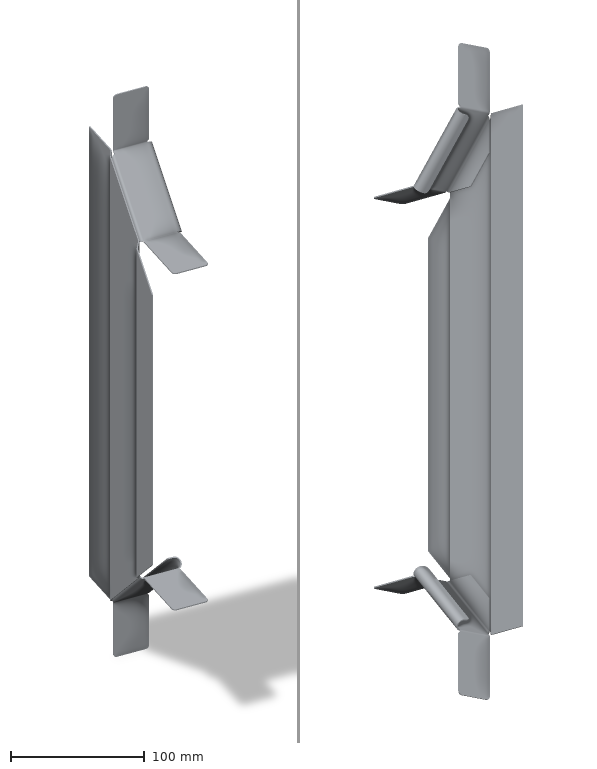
import cadquery as cq
import math

half_length = 251.0
overall_width = 140.0
overall_depth = 40.0
sheet = 1.0
root2 = math.sqrt(2)

left_x = -overall_width / 2
tab_tip_x = overall_width / 2
front_y = -overall_depth / 2
back_y = overall_depth / 2

panel_half_height = 201.0
first_step_depth = 2.5
second_step_depth = 3.25
step_run = 4.0
first_step_x = -33.5
second_step_x = 17.5
right_x = 47.5
panel_sum = 168.5

middle_back_y = front_y + second_step_depth + sheet
wide_back_y = middle_back_y + first_step_depth

bend_radius = 2.0
bend_angle = 45.0
tab_x = -31.0
tab_z = 150.5
tab_high_y = 16.5
tip_radius = 3.0
web_sum = 171.0
foot_depth = 20.0
foot_gap = 0.5

curl_radius = 5.0
curl_flat = 0.25
flare = 6.0
leg_end_y = 11.0

upright_corner_z = web_sum - tab_x
level_corner_x = web_sum - tab_z
inner_bend = bend_radius - sheet
bend_setback = inner_bend * math.tan(math.radians(bend_angle / 2))
straight_length = (level_corner_x - tab_x) * root2 - 2 * bend_setback
web_top_y = back_y - curl_radius
tab_low_y = wide_back_y
foot_bend_radius = tab_low_y - middle_back_y

web_plane = cq.Plane(
    origin=(tab_x + bend_setback / root2, 0, upright_corner_z - bend_setback / root2),
    xDir=(-1, 0, -1),
    normal=(1, 0, -1),
)


def extrude_y(points, y_start, y_end):
    """Extrude an outline of (X, Z) points from y_start to y_end."""
    plane = cq.Workplane("XZ", origin=(0, y_start, 0))
    return plane.polyline(points).close().extrude(y_start - y_end)


def make_panel():
    front = [
        (left_x, wide_back_y - sheet),
        (first_step_x, wide_back_y - sheet),
        (first_step_x + step_run, middle_back_y - sheet),
        (second_step_x, middle_back_y - sheet),
        (second_step_x + step_run, front_y),
        (right_x, front_y),
    ]
    back = [(x, y + sheet) for x, y in reversed(front)]
    section = cq.Workplane("XY").polyline(front + back).close()
    folded = section.extrude(panel_half_height, both=True)
    corner_x = panel_sum - panel_half_height
    right_z = panel_sum - right_x
    outline = [
        (left_x, -panel_half_height),
        (corner_x, -panel_half_height),
        (right_x, -right_z),
        (right_x, right_z),
        (corner_x, panel_half_height),
        (left_x, panel_half_height),
    ]
    return folded.intersect(extrude_y(outline, front_y, back_y))


def polar(center, radius, degrees):
    """Point at a distance and an angle from a center."""
    angle = math.radians(degrees)
    return (center[0] + radius * math.cos(angle), center[1] + radius * math.sin(angle))


def bend(outline, center, radius, start, end):
    """Continue an outline with a line to an arc and then the arc, from angle start to angle end."""
    middle = (start + end) / 2
    outline = outline.lineTo(*polar(center, radius, start))
    return outline.threePointArc(polar(center, radius, middle), polar(center, radius, end))


def make_strip():
    """Upright tab, web and level tab bent from one strip."""
    upright_center = (tab_x + inner_bend, upright_corner_z + bend_setback)
    level_center = (level_corner_x + bend_setback, tab_z + inner_bend)
    upright_angle = 180
    web_angle = upright_angle + bend_angle
    level_angle = web_angle + bend_angle
    outline = cq.Workplane("XZ", origin=(0, tab_low_y, 0)).moveTo(tab_x, half_length)
    outline = bend(outline, upright_center, inner_bend, upright_angle, web_angle)
    outline = bend(outline, level_center, inner_bend, web_angle, level_angle)
    outline = outline.lineTo(tab_tip_x, tab_z).lineTo(tab_tip_x, tab_z - sheet)
    outline = bend(outline, level_center, bend_radius, level_angle, web_angle)
    outline = bend(outline, upright_center, bend_radius, web_angle, upright_angle)
    outline = outline.lineTo(tab_x - sheet, half_length).close()
    strip = outline.extrude(tab_low_y - tab_high_y)
    strip = strip.edges("|X and >Z").fillet(tip_radius)
    strip = strip.edges("|Z and >X").fillet(tip_radius)
    notch = (
        cq.Workplane("ZX", origin=(0, web_top_y, 0))
        .moveTo(tab_z - bend_radius, tab_x - bend_radius)
        .lineTo(tab_z - bend_radius, level_center[0])
        .lineTo(upright_center[1], level_center[0])
        .lineTo(upright_center[1], tab_x - bend_radius)
        .close()
        .extrude(tab_high_y - web_top_y, taper=-45)
    )
    return strip.cut(notch)


def make_foot():
    """Bend at the low edge of the web and the flat foot behind the panel."""
    center = (foot_bend_radius, tab_low_y)
    web_angle = 180
    foot_angle = 270
    outline = cq.Workplane(web_plane).moveTo(sheet, tab_low_y)
    outline = bend(outline, center, foot_bend_radius, web_angle, foot_angle)
    outline = outline.lineTo(foot_depth, middle_back_y).lineTo(foot_depth, middle_back_y + sheet)
    outline = bend(outline, center, foot_bend_radius - sheet, foot_angle, web_angle)
    strip = outline.close().extrude(straight_length)
    foot_x = first_step_x + step_run + foot_gap
    foot_z = tab_z - sheet
    bounds = [
        (foot_x, foot_z),
        (level_corner_x, foot_z),
        (level_corner_x, upright_corner_z),
        (foot_x, upright_corner_z),
    ]
    return strip.intersect(extrude_y(bounds, front_y, back_y))


def make_curl():
    """Lip rolled over from the top edge of the web."""
    web_center = (curl_radius, web_top_y)
    leg_center = (curl_radius + curl_flat, web_top_y)
    inner_radius = curl_radius - sheet
    web_angle = 180
    crown_angle = 90

    def leg_end(radius):
        """Free end of the leg face that leaves the bend at this radius."""
        depth, y = polar(leg_center, radius, flare)
        length = (y - leg_end_y) / math.cos(math.radians(flare))
        return polar((depth, y), length, flare - crown_angle)

    outline = cq.Workplane(web_plane).moveTo(sheet, web_top_y)
    outline = bend(outline, web_center, curl_radius, web_angle, crown_angle)
    outline = bend(outline, leg_center, curl_radius, crown_angle, flare)
    outline = outline.lineTo(*leg_end(curl_radius)).lineTo(*leg_end(inner_radius))
    outline = bend(outline, leg_center, inner_radius, flare, crown_angle)
    outline = bend(outline, web_center, inner_radius, crown_angle, web_angle)
    curl = outline.close().extrude(straight_length)
    return curl.faces("<Y").edges("<Z or >Z").fillet(tip_radius)


def make_clip(lower):
    """Clip at the upper end of the panel, or its mirror image at the lower end."""
    clip = make_strip().union(make_foot()).union(make_curl())
    return clip.mirror("XY") if lower else clip


panel = make_panel()
clips = [make_clip(lower) for lower in (False, True)]

result = cq.Compound.makeCompound([panel.val(), *[clip.val() for clip in clips]])